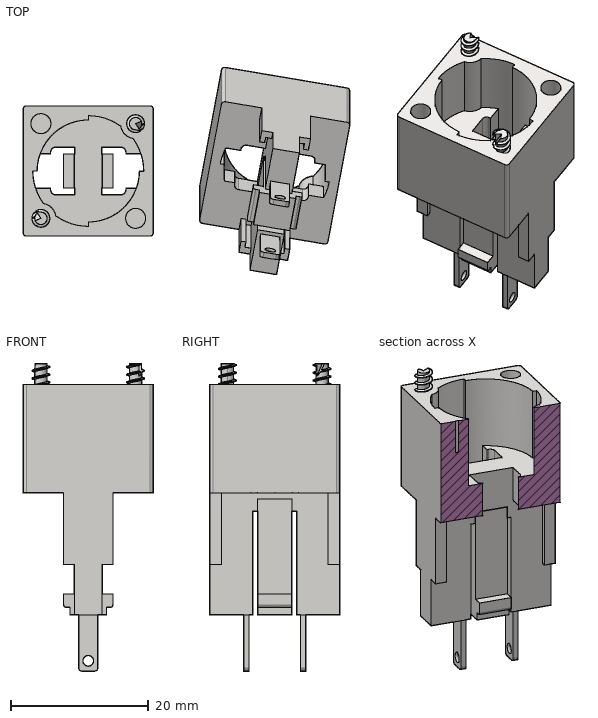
import cadquery as cq
import math

total_height = 44.8
screw_height = 3.0
housing_height = 15.8
leg_height = 17.8
pin_length = total_height - screw_height - housing_height - leg_height
housing_bottom = -housing_height
leg_bottom = housing_bottom - leg_height

housing_side = 19.0
corner_radius = 0.5
fastener_offset = 6.9
screw_hole_diameter = 2.9
screw_hole_depth = 5.0

bore_depth = 10.6
bore_radius = 7.45
wide_bore_radius = 8.05
boss_radius = 2.2

opening_half_length = 5.45
opening_width = 6.9
opening_corner_radius = 0.7

leg_thickness = 3.95
pad_thickness = 7.2
pad_width = 1.75
pad_height = 10.45
pad_groove_width = 0.9
pad_groove_depth = 0.8
slot_width = 6.35
slot_top = housing_bottom - 2.7

arm_width = 5.0
arm_half_thickness = 2.1
arm_top = housing_bottom - 0.9
toe_half_thickness = 2.7
toe_height = 1.1
hook_half_thickness = pad_thickness / 2
hook_top_height = 3.1
hook_radius = 0.35

pin_width = 2.8
pin_thickness = 0.8
pin_offset = 4.1
pin_corner_radius = 0.5
pin_hole_diameter = 1.52
pin_hole_height = 1.52

core_radius = 0.9
thread_radius = 1.3
thread_pitch = 1.1
thread_root_height = 0.4
thread_crest_height = 0.1
thread_overlap = 0.1
thread_start = 0.29 - thread_pitch
flute_wall_angle = 124
flute_edge_angle = 203
flute_reach = 1.8
flute_slope = 2.0


def block(size_x, size_y, bottom, top):
    """Box centred on the Z axis between two heights."""
    return cq.Workplane("XY", origin=(0, 0, bottom)).rect(size_x, size_y).extrude(top - bottom)


def bore_prism(bottom):
    """Stepped bore shape from the given height up to the housing top."""
    bore = cq.Workplane("XY", origin=(0, 0, bottom)).circle(bore_radius).extrude(-bottom)
    wide = cq.Workplane("XY", origin=(0, 0, bottom)).circle(wide_bore_radius).extrude(-bottom)
    for side in (1, -1):
        corner = side * housing_side / 4
        quadrant = block(housing_side / 2, housing_side / 2, bottom, 0).translate((corner, corner, 0))
        bore = bore.union(wide.intersect(quadrant))
    bosses = (
        cq.Workplane("XY", origin=(0, 0, bottom))
        .pushPoints([(fastener_offset, fastener_offset), (-fastener_offset, -fastener_offset)])
        .circle(boss_radius)
        .extrude(-bottom)
    )
    return bore.cut(bosses)


def floor_opening():
    """Pair of openings through the bore floor, each with an arm-wide run to the bore wall."""
    opening = block(2 * opening_half_length, opening_width, housing_bottom, -bore_depth)
    opening = opening.edges("|Z").fillet(opening_corner_radius)
    run = block(housing_side, arm_width, housing_bottom, -bore_depth)
    web = block(leg_thickness, housing_side, housing_bottom, -bore_depth)
    return opening.union(run).cut(web).intersect(bore_prism(housing_bottom))


def make_housing():
    housing = block(housing_side, housing_side, housing_bottom, 0).edges("|Z").fillet(corner_radius)
    housing = housing.cut(bore_prism(-bore_depth)).cut(floor_opening())
    return (
        housing.faces(">Z").workplane(origin=(0, 0, 0))
        .pushPoints([(-fastener_offset, fastener_offset), (fastener_offset, -fastener_offset)])
        .hole(screw_hole_diameter, screw_hole_depth)
    )


def make_leg():
    leg = block(leg_thickness, housing_side, leg_bottom, housing_bottom)
    leg = leg.cut(block(leg_thickness, slot_width, leg_bottom, slot_top))
    pad = block(pad_thickness, pad_width, housing_bottom - pad_height, housing_bottom)
    pad_offset = (housing_side - pad_width) / 2
    for side in (1, -1):
        leg = leg.union(pad.translate((0, side * pad_offset, 0)))

    groove_span = housing_side - 2 * (pad_width - pad_groove_depth)
    groove_offset = (leg_thickness + pad_groove_width) / 2
    groove = block(pad_groove_width, groove_span, housing_bottom - pad_height, housing_bottom)
    for side in (1, -1):
        leg = leg.cut(groove.translate((side * groove_offset, 0, 0)))
    return leg


def make_latch():
    """Central arm with a hook on each face and a narrower toe below the hooks."""
    arm = block(2 * arm_half_thickness, arm_width, leg_bottom, arm_top)
    toe = block(2 * toe_half_thickness, arm_width, leg_bottom, leg_bottom + hook_top_height)
    hooks = block(2 * hook_half_thickness, arm_width, leg_bottom + toe_height, leg_bottom + hook_top_height)
    hooks = hooks.faces("<Z").edges("|Y").fillet(hook_radius)
    return arm.union(toe).union(hooks)


def make_pin():
    pin_bottom = leg_bottom - pin_length
    pin = block(pin_width, pin_thickness, pin_bottom, leg_bottom)
    pin = pin.faces("<Z").edges("|Y").fillet(pin_corner_radius)
    hole = (
        cq.Workplane("XZ", origin=(0, 0, pin_bottom + pin_hole_height))
        .circle(pin_hole_diameter / 2)
        .extrude(pin_thickness, both=True)
    )
    return pin.cut(hole)


def make_flute():
    """Wedge with one upright wall through the screw axis and one sloping face."""
    wall_angle = math.radians(flute_wall_angle)
    edge_angle = math.radians(flute_edge_angle)
    wall_x = flute_reach * math.cos(wall_angle)
    wall_y = flute_reach * math.sin(wall_angle)
    wall_bottom = screw_height - flute_slope * flute_reach
    wall = cq.Wire.makePolygon(
        [
            cq.Vector(0, 0, screw_height),
            cq.Vector(wall_x, wall_y, screw_height),
            cq.Vector(wall_x, wall_y, wall_bottom),
        ],
        close=True,
    )
    edge = cq.Vector(flute_reach * math.cos(edge_angle), flute_reach * math.sin(edge_angle), 0)
    return cq.Solid.extrudeLinear(cq.Face.makeFromWires(wall), edge)


def make_screw():
    """Threaded screw end standing on Z = 0, with a cutting flute at its tip."""
    core = cq.Workplane("XY").circle(core_radius).extrude(screw_height)
    helix_height = screw_height + thread_pitch - thread_start
    helix = cq.Wire.makeHelix(thread_pitch, helix_height, core_radius)
    root_x = core_radius - thread_overlap
    profile = cq.Workplane("XZ").polyline(
        [
            (root_x, -thread_root_height / 2),
            (thread_radius, -thread_crest_height / 2),
            (thread_radius, thread_crest_height / 2),
            (root_x, thread_root_height / 2),
        ]
    ).close()
    thread = profile.sweep(cq.Workplane(obj=helix), isFrenet=True).translate((0, 0, thread_start))
    envelope = cq.Workplane("XY").circle(thread_radius + thread_overlap).extrude(screw_height)
    return core.union(thread.intersect(envelope)).cut(cq.Workplane(obj=make_flute()))


result = make_housing().union(make_leg()).union(make_latch())

for side in (1, -1):
    result = result.union(make_pin().translate((0, side * pin_offset, 0)))

screw = make_screw().translate((-fastener_offset, -fastener_offset, 0))
for turn in (0, 180):
    result = result.union(screw.rotate((0, 0, 0), (0, 0, 1), turn))